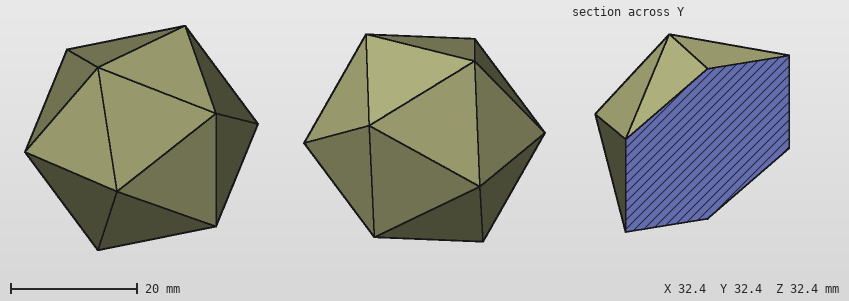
import cadquery as cq
import math

OUTER_SIZE = 32.35
GOLDEN_RATIO = (1 + math.sqrt(5)) / 2

HALF_SIZE = OUTER_SIZE / 2
EDGE_LENGTH = OUTER_SIZE / GOLDEN_RATIO
HALF_EDGE = EDGE_LENGTH / 2
LENGTH_TOLERANCE = 0.003


def corner_points():
    """Twelve corners: the ends of three pairs of opposite edges, parallel to X, Y and Z."""
    corners = []
    for along_edge in (-HALF_EDGE, HALF_EDGE):
        for from_centre in (-HALF_SIZE, HALF_SIZE):
            corners.append(cq.Vector(along_edge, from_centre, 0))
            corners.append(cq.Vector(0, along_edge, from_centre))
            corners.append(cq.Vector(from_centre, 0, along_edge))
    return corners


def share_an_edge(first, second):
    """True when two corners are one edge length apart."""
    return abs((first - second).Length - EDGE_LENGTH) < LENGTH_TOLERANCE


def triangle_face(a, b, c):
    outline = cq.Wire.makePolygon([a, b, c], close=True)
    return cq.Face.makeFromWires(outline)


def make_icosahedron():
    """Solid closed by a triangle on every three corners that neighbour each other."""
    corners = corner_points()
    faces = []
    for i, a in enumerate(corners):
        for j, b in enumerate(corners[:i]):
            for c in corners[:j]:
                if share_an_edge(a, b) and share_an_edge(b, c) and share_an_edge(c, a):
                    faces.append(triangle_face(a, b, c))
    return cq.Solid.makeSolid(cq.Shell.makeShell(faces))


icosahedron = make_icosahedron()

result = cq.Compound.makeCompound([icosahedron])